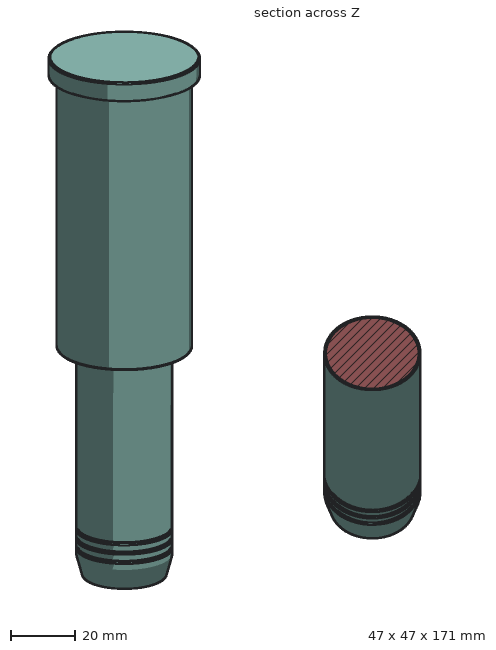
import cadquery as cq
import math

total_length = 171.0
head_diameter = 47.0
head_thickness = 6.0
head_chamfer = 0.5
body_diameter = 42.0
body_bottom_z = 75.0
body_chamfer = 0.5
pin_diameter = 30.0

relief_height = 1.0
relief_depth = 0.5

groove_count = 3
groove_pitch = 3.0
groove_width = 1.0
groove_depth = groove_width / 2
lowest_groove_z = 9.5

taper_length = 7.0
taper_angle = 15.0
tip_fillet = 0.7


def cylinder(diameter, bottom_z, top_z):
    """Solid cylinder on the Z axis between two heights."""
    return cq.Workplane("XY").workplane(offset=bottom_z).circle(diameter / 2).extrude(top_z - bottom_z)


def relief_ring(diameter, top_z):
    """Square ring that undercuts a shaft just below a shoulder."""
    return (
        cq.Workplane("XY")
        .workplane(offset=top_z - relief_height)
        .circle(diameter / 2)
        .circle(diameter / 2 - relief_depth)
        .extrude(relief_height)
    )


def v_ring(diameter, middle_z):
    """Triangular ring that cuts a V groove around a shaft."""
    radius = diameter / 2
    profile = [
        (radius, middle_z - groove_width / 2),
        (radius - groove_depth, middle_z),
        (radius, middle_z + groove_width / 2),
    ]
    return cq.Workplane("XZ").polyline(profile).close().revolve(360, (0, 0, 0), (0, 1, 0))


def tapered_tip():
    """Cone that narrows downward from the pin, with a rounded end edge."""
    end_radius = pin_diameter / 2 - taper_length * math.tan(math.radians(taper_angle))
    cone = (
        cq.Workplane("XY")
        .circle(end_radius)
        .extrude(taper_length, taper=-taper_angle)
    )
    return cone.faces("<Z").edges().fillet(tip_fillet)


head_bottom_z = total_length - head_thickness
head = cylinder(head_diameter, head_bottom_z, total_length).faces(">Z").edges().chamfer(head_chamfer)
body = cylinder(body_diameter, body_bottom_z, head_bottom_z).faces("<Z").edges().chamfer(body_chamfer)
pin = cylinder(pin_diameter, taper_length, body_bottom_z)

result = head.union(body).union(pin).union(tapered_tip())

result = result.cut(v_ring(body_diameter, head_bottom_z - groove_width / 2))
result = result.cut(relief_ring(pin_diameter, body_bottom_z))

for index in range(groove_count):
    result = result.cut(v_ring(pin_diameter, lowest_groove_z + index * groove_pitch))